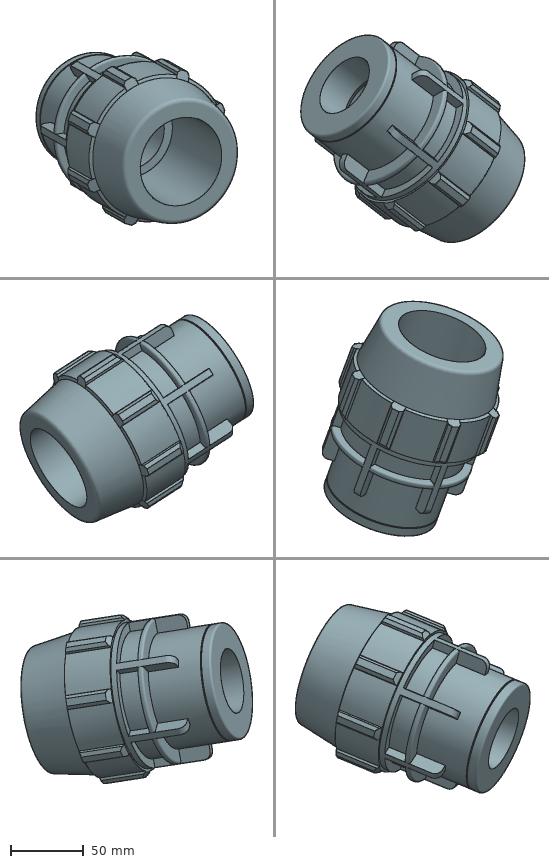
import cadquery as cq

length = 139.0
sleeve_radius = 81.3 / 2
sleeve_edge_fillet = 1.4
barrel_radius = 44.6

groove_start = 7.0
groove_width = 0.8
groove_depth = 0.3

ring_radius = 101.7 / 2
ring_start = 46.1
ring_end = 50.3
ring_fillet = 1.4
flange_start = 65.5

nut_start = 69.6
nut_radius = 52.5
nut_shoulder_start = 103.1
nut_shoulder_end = 104.1
taper_start_radius = 50.2
taper_middle_x = 120.4
taper_middle_radius = 47.4
taper_end_radius = 44.3
nose_fillet = 2.8

body_rib_count = 6
body_rib_start = 23.9
body_rib_width = 5.3
body_rib_nose_radius = 5.8

grip_count = 8
grip_top_radius = 56.5
grip_top_width = 5.3
grip_chamfer = 2.2
grip_front_chamfer = 3.3
grip_rear_top_x = 101.9
grip_clearance = 1.4

entry_bore_radius = 44.9 / 2
stop_bore_radius = 50.5 / 2
socket_radius = 63.0 / 2
entry_bore_end = 25.5
bore_cone_end = 29.2
socket_start = flange_start


def revolve_about_x(profile):
    """Turn a closed half-profile drawn as (x, radius) about the X axis."""
    return profile.close().revolve(360, (0, 0, 0), (1, 0, 0))


def cylinder(start, end, radius):
    return cq.Workplane("YZ", origin=(start, 0, 0)).circle(radius).extrude(end - start)


def around_axis(feature, count, first_angle):
    """Fuse evenly spaced copies of a feature turned about the X axis."""
    pattern = cq.Workplane("XY")
    for index in range(count):
        angle = first_angle + index * 360 / count
        pattern = pattern.add(feature.rotate((0, 0, 0), (1, 0, 0), angle))
    return pattern.combine()


def make_body():
    sleeve = cylinder(0, ring_start, sleeve_radius).faces("<X").edges().fillet(sleeve_edge_fillet)
    groove = revolve_about_x(
        cq.Workplane("XY")
        .moveTo(groove_start, sleeve_radius)
        .lineTo(groove_start + groove_width / 2, sleeve_radius - groove_depth)
        .lineTo(groove_start + groove_width, sleeve_radius)
    )
    ring = cylinder(ring_start, ring_end, ring_radius).edges().fillet(ring_fillet)
    barrel = cylinder(ring_start, flange_start, barrel_radius)
    flange = cylinder(flange_start, nut_start, ring_radius)
    return sleeve.cut(groove).union(barrel).union(ring).union(flange)


def make_body_ribs():
    rib = (
        cq.Workplane("XZ")
        .moveTo(body_rib_start, socket_radius)
        .lineTo(body_rib_start, ring_radius - body_rib_nose_radius)
        .radiusArc((body_rib_start + body_rib_nose_radius, ring_radius), body_rib_nose_radius)
        .lineTo(flange_start, ring_radius)
        .lineTo(flange_start, socket_radius)
        .close()
        .extrude(body_rib_width / 2, both=True)
    )
    rib = rib.intersect(cylinder(body_rib_start, flange_start, ring_radius))
    return around_axis(rib, body_rib_count, 180 / body_rib_count)


def make_nut():
    profile = (
        cq.Workplane("XY")
        .moveTo(nut_start, 0)
        .lineTo(nut_start, nut_radius)
        .lineTo(nut_shoulder_start, nut_radius)
        .lineTo(nut_shoulder_end, taper_start_radius)
        .threePointArc((taper_middle_x, taper_middle_radius), (length, taper_end_radius))
        .lineTo(length, 0)
    )
    return revolve_about_x(profile).faces(">X").edges().fillet(nose_fillet)


def make_grips():
    top_half = grip_top_width / 2
    side_half = top_half + grip_chamfer
    chamfer_foot = grip_top_radius - grip_chamfer
    bar = (
        cq.Workplane("YZ", origin=(nut_start, 0, 0))
        .polyline([
            (-side_half, socket_radius),
            (-side_half, chamfer_foot),
            (-top_half, grip_top_radius),
            (top_half, grip_top_radius),
            (side_half, chamfer_foot),
            (side_half, socket_radius),
        ])
        .close()
        .extrude(nut_shoulder_end - nut_start)
    )
    end_bevels = (
        cq.Workplane("XY")
        .moveTo(nut_start, 0)
        .lineTo(nut_start, grip_top_radius - grip_front_chamfer)
        .lineTo(nut_start + grip_front_chamfer, grip_top_radius)
        .lineTo(nut_start + grip_front_chamfer, grip_top_radius + grip_clearance)
        .lineTo(grip_rear_top_x, grip_top_radius + grip_clearance)
        .lineTo(grip_rear_top_x, grip_top_radius)
        .lineTo(nut_shoulder_end, taper_start_radius)
        .lineTo(nut_shoulder_end, 0)
    )
    bar = bar.intersect(revolve_about_x(end_bevels))
    return around_axis(bar, grip_count, 180 / grip_count)


def make_bore():
    profile = (
        cq.Workplane("XY")
        .lineTo(0, entry_bore_radius)
        .lineTo(entry_bore_end, entry_bore_radius)
        .lineTo(bore_cone_end, stop_bore_radius)
        .lineTo(socket_start, stop_bore_radius)
        .lineTo(socket_start, socket_radius)
        .lineTo(length, socket_radius)
        .lineTo(length, 0)
    )
    return revolve_about_x(profile)


solid_part = make_body().union(make_body_ribs()).union(make_nut()).union(make_grips())
result = solid_part.cut(make_bore())